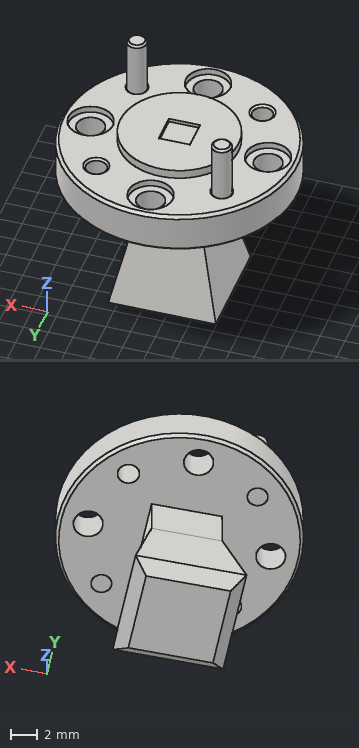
import cadquery as cq
import math

flange_diameter = 19.05
flange_thickness = 3.34
flange_chamfer = 0.25

boss_diameter = 9.55
boss_height = 0.75
recess_width = 2.52
recess_depth = 0.3

neck_width = 5.55
neck_length = 3.53
flare_width = 8.7
flare_length = 6.97
tip_length = 1.03
tip_width = flare_width - 2 * tip_length

pitch_radius = 7.16
bolt_hole_diameter = 2.26
counterbore_diameter = 3.57
counterbore_depth = 0.55
alignment_hole_diameter = 1.68
alignment_chamfer = 0.18
pin_diameter = 1.58
pin_projection = 4.65
pin_tip_inset = 0.15
pin_tip_height = 0.2
pin_hole_chamfer = 0.1

bolt_angles = (0, 90, 180, 270)
alignment_angles = (45, 225)
pin_angles = (135, 315)


def pitch_points(angles):
    """Points on the pitch circle at the given angles in degrees."""
    return [
        (pitch_radius * math.cos(math.radians(a)), pitch_radius * math.sin(math.radians(a)))
        for a in angles
    ]


def make_disc():
    disc = cq.Workplane("XY").circle(flange_diameter / 2).extrude(flange_thickness)
    disc = disc.edges().chamfer(flange_chamfer)
    boss = (
        cq.Workplane("XY", origin=(0, 0, flange_thickness))
        .circle(boss_diameter / 2)
        .extrude(boss_height)
    )
    recess = (
        cq.Workplane("XY", origin=(0, 0, flange_thickness + boss_height))
        .rect(recess_width, recess_width)
        .extrude(-recess_depth)
    )
    return disc.union(boss).cut(recess)


def square_taper(top_z, top_width, length, bottom_width):
    """Square section running down from top_z, changing width along its length."""
    return (
        cq.Workplane("XY", origin=(0, 0, top_z))
        .rect(top_width, top_width)
        .workplane(offset=-length)
        .rect(bottom_width, bottom_width)
        .loft(ruled=True)
    )


def make_horn():
    flare_top = -neck_length
    flare_bottom = flare_top - flare_length
    neck = cq.Workplane("XY").rect(neck_width, neck_width).extrude(-neck_length)
    flare = square_taper(flare_top, neck_width, flare_length, flare_width)
    tip = square_taper(flare_bottom, flare_width, tip_length, tip_width)
    return neck.union(flare).union(tip)


def flange_top(angles):
    """Workplane on the flange top holding points on the pitch circle."""
    return cq.Workplane("XY", origin=(0, 0, flange_thickness)).pushPoints(pitch_points(angles))


def bolt_hole_cutter():
    holes = flange_top(bolt_angles).circle(bolt_hole_diameter / 2).extrude(-flange_thickness)
    counterbores = flange_top(bolt_angles).circle(counterbore_diameter / 2).extrude(-counterbore_depth)
    return holes.union(counterbores)


def chamfered_hole_cutter(angles, diameter, chamfer):
    """Through holes with a 45-degree chamfer at the flange top."""
    holes = flange_top(angles).circle(diameter / 2).extrude(-flange_thickness)
    mouths = flange_top(angles).circle(diameter / 2 + chamfer).extrude(-chamfer, taper=45)
    return holes.union(mouths)


def make_housing():
    housing = make_disc().union(make_horn())
    housing = housing.cut(bolt_hole_cutter())
    housing = housing.cut(
        chamfered_hole_cutter(alignment_angles, alignment_hole_diameter, alignment_chamfer)
    )
    return housing.cut(chamfered_hole_cutter(pin_angles, pin_diameter, pin_hole_chamfer))


def make_pin(x, y):
    """Pin filling its hole and standing above the flange, with a chamfered top."""
    return (
        cq.Workplane("XY", origin=(x, y, 0))
        .circle(pin_diameter / 2)
        .extrude(flange_thickness + pin_projection)
        .faces(">Z")
        .edges()
        .chamfer(pin_tip_height, pin_tip_inset)
    )


housing = make_housing()
pins = [make_pin(x, y).val() for x, y in pitch_points(pin_angles)]
result = cq.Compound.makeCompound([*housing.vals(), *pins])